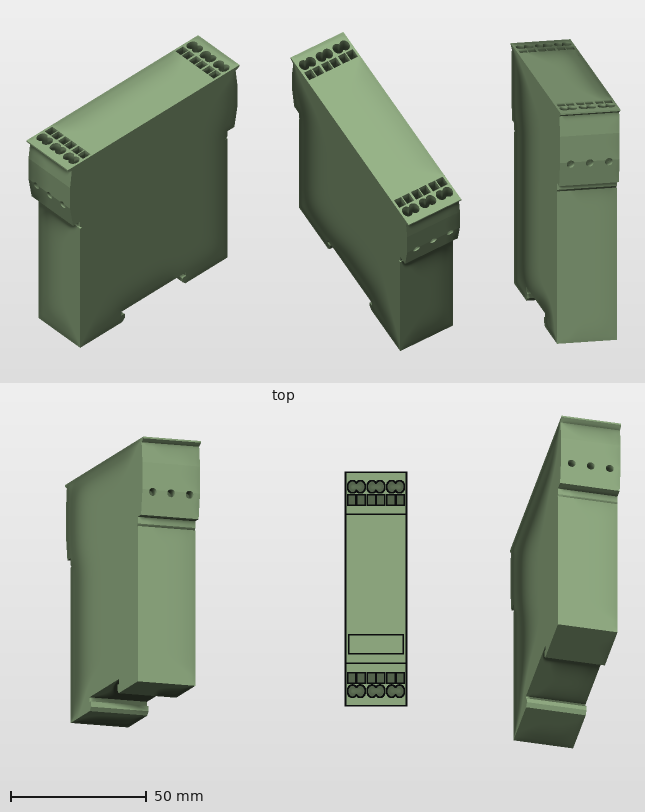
import cadquery as cq

WIDTH = 22.5
LENGTH = 86.2
HEIGHT = 91.2

HOUSING_HALF = 36.9
SHELF_Z = 58.7
NECK_HALF = 23.2
NECK_TOP_Z = 78.6

RAIL_HALF = 16.2
RAIL_TOP_Z = 5.3
HOOK_HALF = 14.5
HOOK_TOP_Z = 3.5
HOOK_BEVEL = 1.4
HOOK_TOP_BEVEL = 0.4

COVER_HALF = 27.45
COVER_EDGE_Z = 85.6
COVER_MIDDLE_Z = 84.9
COVER_MIDDLE_HALF = 22.2

LABEL_WIDTH = 20.1
LABEL_LENGTH = 7.0
LABEL_Y = -20.4
LABEL_THICKNESS = 0.9

LIP_HALF = LENGTH / 2
LIP_EDGE_Z = 90.6
LIP_ROOT_HALF = 41.1
LIP_ROOT_Z = 89.5
FACE_HALF = 42.0
FACE_TOP_Z = 81.8
FACE_BOTTOM_Z = 71.6
CHIN_HALF = 40.5
CHIN_Z = 62.2
FOOT_BEVEL = 0.9

POLE_COUNT = 3
POLE_PITCH = 7.2
OPENING_DEPTH = 9.1
WIRE_Y = 37.7
WIRE_OFFSET = 1.5
WIRE_RADIUS_X = 1.8
WIRE_RADIUS_Y = 2.3
CLAMP_Y = 32.8
CLAMP_SPAN = 6.4
CLAMP_LENGTH = 3.8
CLAMP_WALL = 0.4
TEST_HOLE_RADIUS = 1.5
TEST_HOLE_Z = 70.9
TEST_HOLE_DEPTH = 4.6

POLE_XS = [(i - (POLE_COUNT - 1) / 2) * POLE_PITCH for i in range(POLE_COUNT)]


def extrude_across_width(points):
    """Extrude a closed (Y, Z) outline over the full width in X."""
    return cq.Workplane("YZ").polyline(points).close().extrude(WIDTH / 2, both=True)


def mirrored_outline(half):
    """Complete a symmetric outline from its +Y half."""
    return half + [(-y, z) for y, z in reversed(half)]


def make_housing():
    half = [
        (RAIL_HALF, RAIL_TOP_Z),
        (RAIL_HALF, HOOK_TOP_Z),
        (HOOK_HALF + HOOK_TOP_BEVEL, HOOK_TOP_Z),
        (HOOK_HALF, HOOK_TOP_Z - HOOK_TOP_BEVEL),
        (HOOK_HALF, HOOK_BEVEL),
        (HOOK_HALF + HOOK_BEVEL, 0),
        (HOUSING_HALF, 0),
        (HOUSING_HALF, SHELF_Z),
        (NECK_HALF, SHELF_Z),
        (NECK_HALF, NECK_TOP_Z),
        (COVER_HALF, NECK_TOP_Z),
        (COVER_HALF, COVER_EDGE_Z),
        (COVER_MIDDLE_HALF, COVER_EDGE_Z),
        (COVER_MIDDLE_HALF, COVER_MIDDLE_Z),
    ]
    return extrude_across_width(mirrored_outline(half))


def make_label():
    return (
        cq.Workplane("XY", origin=(0, LABEL_Y, HEIGHT))
        .rect(LABEL_WIDTH, LABEL_LENGTH)
        .extrude(-LABEL_THICKNESS)
    )


def make_cover(label):
    half = [
        (COVER_MIDDLE_HALF, COVER_MIDDLE_Z),
        (COVER_MIDDLE_HALF, COVER_EDGE_Z),
        (COVER_HALF, COVER_EDGE_Z),
        (COVER_HALF, HEIGHT),
    ]
    return extrude_across_width(mirrored_outline(half)).cut(label)


def make_wire_openings():
    """Pairs of overlapping elliptical wells, one pair per pole."""
    centres = [(x + side * WIRE_OFFSET, WIRE_Y) for x in POLE_XS for side in (-1, 1)]
    return (
        cq.Workplane("XY", origin=(0, 0, HEIGHT))
        .pushPoints(centres)
        .ellipse(WIRE_RADIUS_X, WIRE_RADIUS_Y)
        .extrude(-OPENING_DEPTH)
    )


def make_clamp_openings():
    """Pairs of rectangular wells with a thin wall between them, one pair per pole."""
    well_width = (CLAMP_SPAN - CLAMP_WALL) / 2
    offset = (well_width + CLAMP_WALL) / 2
    centres = [(x + side * offset, CLAMP_Y) for x in POLE_XS for side in (-1, 1)]
    return (
        cq.Workplane("XY", origin=(0, 0, HEIGHT))
        .pushPoints(centres)
        .rect(well_width, CLAMP_LENGTH)
        .extrude(-OPENING_DEPTH)
    )


def make_test_holes():
    """Round blind holes running inward from the outer face, one per pole."""
    return (
        cq.Workplane("XZ", origin=(0, FACE_HALF, 0))
        .pushPoints([(x, TEST_HOLE_Z) for x in POLE_XS])
        .circle(TEST_HOLE_RADIUS)
        .extrude(TEST_HOLE_DEPTH)
    )


def make_terminal_block():
    """Terminal block at the +Y end."""
    outline = [
        (COVER_HALF, HEIGHT),
        (LIP_HALF, HEIGHT),
        (LIP_HALF, LIP_EDGE_Z),
        (LIP_ROOT_HALF, LIP_ROOT_Z),
        (FACE_HALF, FACE_TOP_Z),
        (FACE_HALF, FACE_BOTTOM_Z),
        (CHIN_HALF, CHIN_Z),
        (HOUSING_HALF, CHIN_Z),
        (HOUSING_HALF, SHELF_Z + FOOT_BEVEL),
        (HOUSING_HALF - FOOT_BEVEL, SHELF_Z),
        (NECK_HALF, SHELF_Z),
        (NECK_HALF, NECK_TOP_Z),
        (COVER_HALF, NECK_TOP_Z),
    ]
    block = extrude_across_width(outline)
    return block.cut(make_wire_openings()).cut(make_clamp_openings()).cut(make_test_holes())


housing = make_housing()
label = make_label()
cover = make_cover(label)

terminal_blocks = [
    make_terminal_block().rotate((0, 0, 0), (0, 0, 1), turn).solids().val() for turn in (0, 180)
]

result = cq.Compound.makeCompound(
    [housing.solids().val(), cover.solids().val(), label.solids().val(), *terminal_blocks]
)